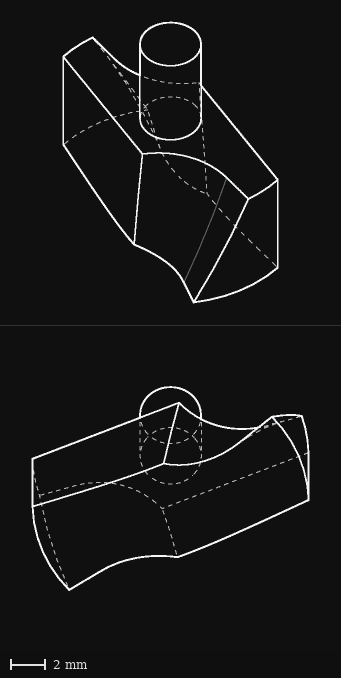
import math

import cadquery as cq

head_diameter = 15.8
head_thickness = 5.67
head_height = 8.8
point_angle = 12.0

shank_diameter = 3.5
shank_length = 6.0

flute_count = 2
flute_twist = 30.5
flute_radius = 4.8
face_slope = 5.9
blend_x = 5.75
blend_y = 0.38
clearance = 2.0

head_radius = head_diameter / 2
cone_height = head_radius * math.tan(math.radians(point_angle))


def make_head():
    """Pointed cylinder trimmed to a blade of constant thickness."""
    pointed_cylinder = (
        cq.Workplane("XZ")
        .polyline([(0, 0), (head_radius, cone_height), (head_radius, head_height), (0, head_height)])
        .close()
        .revolve(360, (0, 0, 0), (0, 1, 0))
    )
    blade = cq.Workplane("XY").box(
        head_diameter, head_thickness, head_height, centered=(True, True, False)
    )
    return pointed_cylinder.intersect(blade)


def make_flute():
    """Twisted cutter: straight cutting face running into a concave arc."""
    slope = math.radians(face_slope)
    center_x = blend_x + flute_radius * math.sin(slope)
    center_y = blend_y - flute_radius * math.cos(slope)

    outer_x = head_radius + clearance
    outer_y = blend_y + (outer_x - blend_x) * math.tan(slope)

    arc_start_angle = math.pi
    arc_end_angle = math.pi / 2 + slope
    arc_middle_angle = (arc_start_angle + arc_end_angle) / 2
    arc_start = (center_x - flute_radius, center_y)
    arc_middle = (
        center_x + flute_radius * math.cos(arc_middle_angle),
        center_y + flute_radius * math.sin(arc_middle_angle),
    )

    return (
        cq.Workplane("XY")
        .moveTo(*arc_start)
        .threePointArc(arc_middle, (blend_x, blend_y))
        .lineTo(outer_x, outer_y)
        .lineTo(outer_x, center_y)
        .close()
        .twistExtrude(head_height, flute_twist)
        .rotate((0, 0, 0), (0, 0, 1), -flute_twist)
    )


def make_shank():
    """Round shank rising from the top of the head."""
    return (
        cq.Workplane("XY")
        .workplane(offset=head_height)
        .circle(shank_diameter / 2)
        .extrude(shank_length)
    )


head = make_head()
flute = make_flute()
for index in range(flute_count):
    turn = index * 360 / flute_count
    head = head.cut(flute.rotate((0, 0, 0), (0, 0, 1), turn))

result = head.union(make_shank())